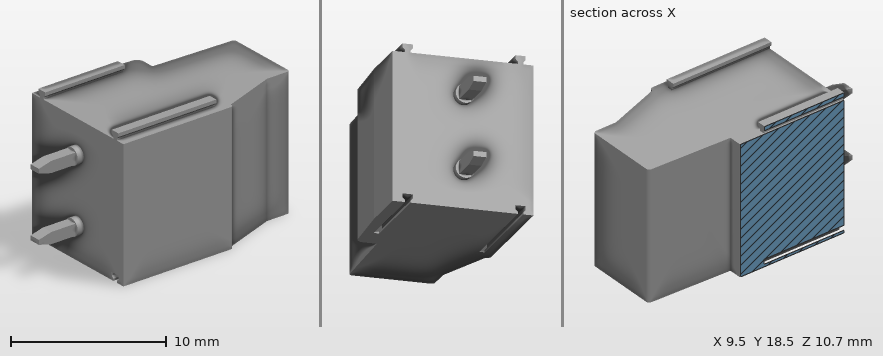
import cadquery as cq

POLES = 2
WIDTH = 9.5
HEIGHT = 10.15
PITCH = HEIGHT / POLES
TOTAL_LENGTH = 18.5
TOTAL_HEIGHT = 10.73
PIN_REACH = 3.5
DEPTH = TOTAL_LENGTH - PIN_REACH

LEFT_BEND_Y = 3.87
LEFT_SHOULDER_X = 0.3
LEFT_SHOULDER_Y = 8.5
SHOULDER_RADIUS = 0.55
TOWER_FOOT_X = 1.72
TOWER_LEFT_X = 1.95

TOWER_RIGHT_X = 7.7
SLOPE_TOP_Y = 13.14
SLOPE_FOOT_X = 9.21
RIGHT_SHOULDER_Y = 9.0
SMALL_RADIUS = 0.24

RAILS = [(1.04, 0.72, 6.5), (8.64, 0.68, 8.0)]
RAIL_NECK_WIDTH = 0.37
RAIL_NECK_HEIGHT = 0.15
RAIL_HEAD_HEIGHT = 0.25
RAIL_HEIGHT = TOTAL_HEIGHT - HEIGHT

PIN_X = WIDTH / 2
COLLAR_DIAMETER = 1.3
COLLAR_LENGTH = 0.5
PIN_WIDTH = 0.85
PIN_HEIGHT = 0.87
PIN_TIP_HEIGHT = 0.35
PIN_TAPER_LENGTH = 1.0


def housing():
    """Extrude the outline upward and round its convex corners."""
    left_shoulder = (LEFT_SHOULDER_X, LEFT_SHOULDER_Y)
    tower_left = (TOWER_LEFT_X, DEPTH)
    tower_right = (TOWER_RIGHT_X, DEPTH)
    right_shoulder = (WIDTH, RIGHT_SHOULDER_Y)
    outline = [
        (0, 0),
        (0, LEFT_BEND_Y),
        left_shoulder,
        (TOWER_FOOT_X, LEFT_SHOULDER_Y),
        tower_left,
        tower_right,
        (TOWER_RIGHT_X, SLOPE_TOP_Y),
        (SLOPE_FOOT_X, RIGHT_SHOULDER_Y),
        right_shoulder,
        (WIDTH, 0),
    ]
    body = cq.Workplane("XY").polyline(outline).close().extrude(HEIGHT)
    roundings = [
        (left_shoulder, SHOULDER_RADIUS),
        (tower_left, SMALL_RADIUS),
        (tower_right, SMALL_RADIUS),
        (right_shoulder, SMALL_RADIUS),
    ]
    for (x, y), radius in roundings:
        corner = cq.selectors.NearestToPointSelector((x, y, HEIGHT / 2))
        body = body.edges("|Z").edges(corner).fillet(radius)
    return body


def rail(center_x, head_width, length, base_z):
    """Wide-headed rail standing on base_z and running back from the pin face."""
    half_neck = RAIL_NECK_WIDTH / 2
    half_head = head_width / 2
    head_z = RAIL_HEIGHT - RAIL_HEAD_HEIGHT
    profile = [
        (-half_neck, 0),
        (-half_neck, RAIL_NECK_HEIGHT),
        (-half_head, head_z),
        (-half_head, RAIL_HEIGHT),
        (half_head, RAIL_HEIGHT),
        (half_head, head_z),
        (half_neck, RAIL_NECK_HEIGHT),
        (half_neck, 0),
    ]
    plane = cq.Workplane("XZ", origin=(center_x, 0, base_z))
    return plane.polyline(profile).close().extrude(-length)


def pin(center_z):
    """Collar and flat pin whose top and bottom taper to a blunt tip."""
    collar = (
        cq.Workplane("XZ", origin=(PIN_X, 0, center_z))
        .circle(COLLAR_DIAMETER / 2)
        .extrude(COLLAR_LENGTH)
    )
    half_height = PIN_HEIGHT / 2
    half_tip = PIN_TIP_HEIGHT / 2
    taper_y = PIN_TAPER_LENGTH - PIN_REACH
    side = [
        (0, -half_height),
        (taper_y, -half_height),
        (-PIN_REACH, -half_tip),
        (-PIN_REACH, half_tip),
        (taper_y, half_height),
        (0, half_height),
    ]
    blade = (
        cq.Workplane("YZ", origin=(PIN_X, 0, center_z))
        .polyline(side)
        .close()
        .extrude(PIN_WIDTH / 2, both=True)
    )
    return collar.union(blade)


result = housing()
for rail_x, rail_width, rail_length in RAILS:
    result = result.union(rail(rail_x, rail_width, rail_length, HEIGHT))
    result = result.cut(rail(rail_x, rail_width, rail_length, 0))
for pole in range(POLES):
    result = result.union(pin(PITCH / 2 + pole * PITCH))